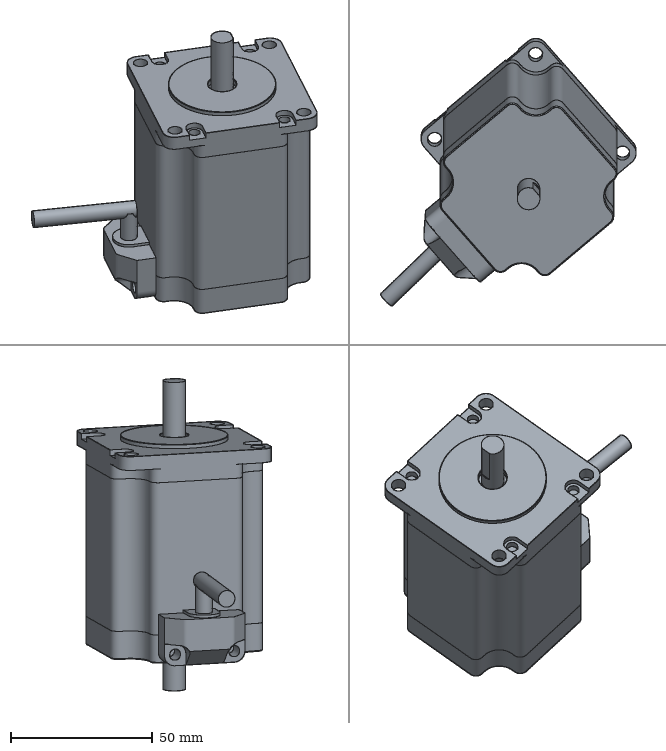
import cadquery as cq
import math


side = 56.4
half_side = side / 2
body_height = 75.0
rear_cap_height = 10.2
front_cap_height = 10.0
stator_height = body_height - rear_cap_height - front_cap_height
flange_thickness = 5.0
flange_corner_radius = 4.2
flange_bottom = body_height - flange_thickness
rear_chamfer = 0.4
flange_chamfer = 0.1

lobe_radius = 3.0
scoop_radius = 6.9
scoop_centre = half_side - flange_corner_radius
scoop_edge = scoop_centre - scoop_radius

pilot_diameter = 38.1
pilot_height = 1.5
pilot_chamfer = 0.2
recess_diameter = 10.0
recess_depth = 2.0
recess_chamfer = 0.2
mounting_hole_diameter = 5.0
mounting_hole_offset = 23.57
slot_width = 6.0
slot_depth = 2.0
slot_offset_y = 16.5
screw_hole_diameter = 4.0
screw_hole_depth = 2.5

shaft_diameter = 8.0
front_shaft_length = 21.0
rear_shaft_length = 15.0
flat_depth = 0.4
front_flat_length = 15.5
rear_flat_length = 10.0

outlet_width = 30.0
outlet_depth = 13.0
outlet_height = 17.5
outlet_bottom = 0.2
outlet_chamfer = 6.0
outlet_edge_radius = 2.0
lug_depth = outlet_depth - outlet_chamfer
lug_radius = 4.0
lug_hole_diameter = 4.0
lug_hole_x = outlet_width / 2 - lug_radius
lug_hole_z = outlet_bottom + lug_radius
outlet_top = outlet_bottom + outlet_height

grommet_radius = 5.75
grommet_thickness = 1.0
cable_diameter = 6.0
cable_radius = cable_diameter / 2
cable_wall_distance = 6.0
cable_y = -half_side - cable_wall_distance
cable_rise = 11.0
cable_axis_z = outlet_top + grommet_thickness + cable_rise
cable_turn_degrees = 4.0
cable_run_length = 37.0
cable_overrun = 2.5
cable_run_start_y = cable_y + cable_overrun


def corner_points(x, y):
    """The four points mirrored about both the X and Y axes."""
    return [(sx * x, sy * y) for sx in (-1, 1) for sy in (-1, 1)]


def body_section(bottom, height):
    """Square prism with scooped corners and rounded lobes."""
    prism = cq.Workplane("XY").workplane(offset=bottom).rect(side, side).extrude(height)
    lobe_tip = half_side - lobe_radius
    flat_end = scoop_edge - lobe_radius
    lobe_middle = lobe_radius * math.sqrt(0.5)
    scoop_middle = scoop_centre - scoop_radius * math.sqrt(0.5)
    scoop = (
        cq.Workplane("XY").workplane(offset=bottom)
        .moveTo(flat_end, half_side)
        .threePointArc((flat_end + lobe_middle, lobe_tip + lobe_middle), (scoop_edge, lobe_tip))
        .lineTo(scoop_edge, scoop_centre)
        .threePointArc((scoop_middle, scoop_middle), (scoop_centre, scoop_edge))
        .lineTo(lobe_tip, scoop_edge)
        .threePointArc((lobe_tip + lobe_middle, flat_end + lobe_middle), (half_side, flat_end))
        .lineTo(half_side, half_side)
        .close()
        .extrude(height)
    )
    for turn in range(4):
        prism = prism.cut(scoop.rotate((0, 0, 0), (0, 0, 1), 90 * turn))
    return prism


def cylinder(diameter, bottom, height):
    return cq.Workplane("XY").workplane(offset=bottom).circle(diameter / 2).extrude(height)


def make_shaft():
    top = body_height + front_shaft_length
    shaft = cylinder(shaft_diameter, -rear_shaft_length, top + rear_shaft_length)
    for bottom, length in ((top - front_flat_length, front_flat_length),
                           (-rear_shaft_length, rear_flat_length)):
        cutter = (
            cq.Workplane("XY")
            .box(shaft_diameter, flat_depth, length, centered=(True, False, False))
            .translate((0, shaft_diameter / 2 - flat_depth, bottom))
        )
        shaft = shaft.cut(cutter)
    return shaft


def shaft_bore():
    return cylinder(shaft_diameter, 0, body_height + pilot_height)


def make_rear_cap():
    cap = body_section(0, rear_cap_height).faces("<Z").edges().chamfer(rear_chamfer)
    return cap.cut(shaft_bore())


def make_stator():
    return body_section(rear_cap_height, stator_height).cut(shaft_bore())


def make_front_cap():
    cap = body_section(rear_cap_height + stator_height, front_cap_height - flange_thickness)
    flange = (
        cq.Workplane("XY").workplane(offset=flange_bottom)
        .rect(side, side).extrude(flange_thickness)
        .edges("|Z").fillet(flange_corner_radius)
        .faces(">Z").edges().chamfer(flange_chamfer)
    )
    pilot = cylinder(pilot_diameter, body_height, pilot_height)
    pilot = pilot.faces(">Z").edges().chamfer(pilot_chamfer)
    cap = cap.union(flange).union(pilot)

    pilot_top = body_height + pilot_height
    recess = cylinder(recess_diameter, pilot_top - recess_depth, recess_depth)
    countersink = cq.Workplane(cq.Solid.makeCone(
        recess_diameter / 2, recess_diameter / 2 + recess_chamfer, recess_chamfer,
        pnt=cq.Vector(0, 0, pilot_top - recess_chamfer),
    ))
    cap = cap.cut(recess).cut(countersink).cut(shaft_bore())

    mounting_holes = (
        cq.Workplane("XY").workplane(offset=flange_bottom)
        .pushPoints(corner_points(mounting_hole_offset, mounting_hole_offset))
        .circle(mounting_hole_diameter / 2).extrude(flange_thickness)
    )
    cap = cap.cut(mounting_holes)

    slot_floor = body_height - slot_depth
    for x, y in corner_points(mounting_hole_offset, slot_offset_y):
        outward = math.copysign(1, x)
        round_end = cylinder(slot_width, slot_floor, slot_depth).translate((x, y, 0))
        open_end = (
            cq.Workplane("XY").workplane(offset=slot_floor)
            .center(x + outward * slot_width / 2, y)
            .rect(slot_width, slot_width).extrude(slot_depth)
        )
        hole = cylinder(screw_hole_diameter, slot_floor - screw_hole_depth, screw_hole_depth)
        cap = cap.cut(round_end).cut(open_end).cut(hole.translate((x, y, 0)))
    return cap


def make_outlet():
    wall = -half_side
    outlet = (
        cq.Workplane("XY")
        .box(outlet_width, outlet_depth, outlet_height, centered=(True, False, False))
        .translate((0, wall - outlet_depth, outlet_bottom))
    )
    outlet = outlet.edges("|Z and <Y").chamfer(outlet_chamfer)
    outlet = outlet.faces("<Y").edges("|Z").fillet(outlet_edge_radius)

    front = wall - outlet_depth
    slope = (
        cq.Workplane("YZ")
        .polyline([
            (front, outlet_bottom),
            (front + outlet_chamfer, outlet_bottom),
            (front, outlet_bottom + outlet_chamfer),
        ])
        .close().extrude(outlet_width / 2, both=True)
    )
    outlet = outlet.cut(slope)
    outlet = outlet.edges("|Y and <Z").fillet(lug_radius)

    for direction in (-1, 1):
        x = direction * lug_hole_x
        lug_plane = cq.Workplane("XZ", origin=(x, wall - lug_depth, lug_hole_z))
        pocket = (
            lug_plane.circle(lug_radius).extrude(outlet_chamfer)
            .union(lug_plane.center(direction * lug_radius, 0)
                   .rect(2 * lug_radius, 2 * lug_radius).extrude(outlet_chamfer))
            .union(lug_plane.center(0, -lug_radius)
                   .rect(2 * lug_radius, 2 * lug_radius).extrude(outlet_chamfer))
        )
        hole = lug_plane.circle(lug_hole_diameter / 2).extrude(-lug_depth)
        outlet = outlet.cut(pocket).cut(hole)
    return outlet


def make_grommet():
    return (
        cq.Workplane("XY").workplane(offset=outlet_top)
        .moveTo(-grommet_radius, -half_side)
        .lineTo(-grommet_radius, cable_y)
        .threePointArc((0, cable_y - grommet_radius), (grommet_radius, cable_y))
        .lineTo(grommet_radius, -half_side)
        .close().extrude(grommet_thickness)
    )


def make_cable_riser():
    bottom = outlet_top + grommet_thickness
    return cylinder(cable_diameter, bottom, cable_rise).translate((0, cable_y, 0))


def make_cable_run():
    run = (
        cq.Workplane("XZ", origin=(0, cable_run_start_y, cable_axis_z))
        .circle(cable_radius).extrude(cable_run_length)
    )
    return run.rotate((0, cable_run_start_y, 0), (0, cable_run_start_y, 1), -cable_turn_degrees)


shaft = make_shaft()
rear_cap = make_rear_cap()
stator = make_stator()
front_cap = make_front_cap()
outlet = make_outlet()
grommet = make_grommet()
cable_run = make_cable_run()
cable_riser = make_cable_riser().cut(cable_run)

bodies = [shaft, rear_cap, stator, front_cap, outlet, grommet, cable_riser, cable_run]
result = cq.Compound.makeCompound([body.solids().val() for body in bodies])